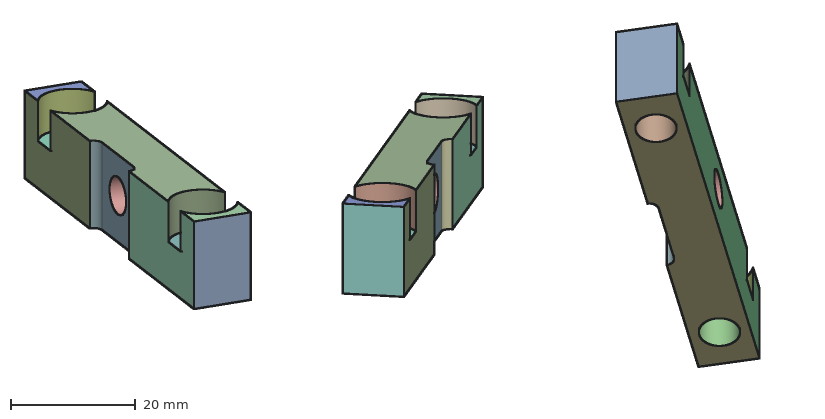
import cadquery as cq

length = 65.0
depth = 10.0
height = 15.0

bolt_spacing = 50.0
bolt_diameter = 6.6
counterbore_diameter = 11.05
counterbore_depth = 6.9

channel_width = 15.0
channel_depth = 1.5
channel_corner_radius = channel_depth

cross_hole_diameter = 6.4
cross_hole_height = 8.0


def make_bar():
    return cq.Workplane("XY").box(length, depth, height, centered=(True, True, False))


def make_channel():
    """Channel cutter, reaching one channel depth out past the front face."""
    return (
        cq.Workplane("XY")
        .center(0, -depth / 2)
        .rect(channel_width, 2 * channel_depth)
        .extrude(height)
        .edges("|Z and >Y")
        .fillet(channel_corner_radius)
    )


def make_cross_hole():
    return (
        cq.Workplane("XZ")
        .center(0, cross_hole_height)
        .circle(cross_hole_diameter / 2)
        .extrude(depth, both=True)
    )


def cut_bolt_holes(body):
    """The counterbores are wider than the bar, so they open through both long faces."""
    return (
        body.faces(">Z")
        .workplane(origin=(0, 0, height))
        .pushPoints([(-bolt_spacing / 2, 0), (bolt_spacing / 2, 0)])
        .cboreHole(bolt_diameter, counterbore_diameter, counterbore_depth)
    )


result = cut_bolt_holes(make_bar()).cut(make_channel()).cut(make_cross_hole())